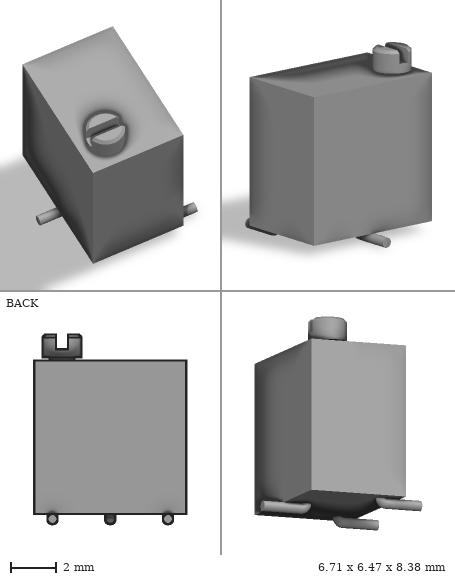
import cadquery as cq

body_width = 6.71
body_depth = 4.5
body_height = 6.78

pin_diameter = 0.46
pin_radius = pin_diameter / 2
pin_embed = 0.01
pin_axis_z = pin_embed - pin_radius
bend_radius = pin_radius + 0.01
rear_overhang = 1.005
rear_straight_length = 1.64
front_overhang = 0.97
front_straight_length = 1.83
rear_pin_spacing = 5.095

screw_x = 2.13
screw_y = -0.99
neck_diameter = 1.12
neck_height = 0.125
head_diameter = 1.73
head_height = 1.02
head_chamfer = 0.13
slot_width = 0.52
slot_depth = 0.65


def make_pin(x, overhang, straight_length):
    """Straight pin pointing to +Y, with a tight quarter bend up into the housing."""
    bend_y = body_depth / 2 + overhang - straight_length
    profile = cq.Workplane("XZ", origin=(x, bend_y, 0)).center(0, pin_axis_z)
    straight = profile.circle(pin_radius).extrude(-straight_length)
    bend = profile.circle(pin_radius).revolve(90, (0.08, bend_radius, 0), (-0.08, bend_radius, 0))
    return straight.union(bend)


def make_front_pin():
    """Central pin, turned to point to -Y."""
    pin = make_pin(0, front_overhang, front_straight_length)
    return pin.rotate((0, 0, 0), (0, 0, 1), 180)


def make_screw():
    """Neck and chamfered head with a screwdriver slot running along Y."""
    neck = cq.Workplane("XY").circle(neck_diameter / 2).extrude(neck_height)
    head = (
        cq.Workplane("XY", origin=(0, 0, neck_height))
        .circle(head_diameter / 2)
        .extrude(head_height)
        .faces(">Z")
        .chamfer(head_chamfer)
    )
    slot = (
        cq.Workplane("XY", origin=(0, 0, neck_height + head_height))
        .rect(slot_width, head_diameter)
        .extrude(-slot_depth)
    )
    screw = neck.union(head).cut(slot)
    return screw.translate((screw_x, screw_y, body_height))


result = cq.Workplane("XY").box(body_width, body_depth, body_height, centered=(True, True, False))
result = result.union(make_screw())
for side in (-1, 1):
    rear_pin = make_pin(side * rear_pin_spacing / 2, rear_overhang, rear_straight_length)
    result = result.union(rear_pin)
result = result.union(make_front_pin())